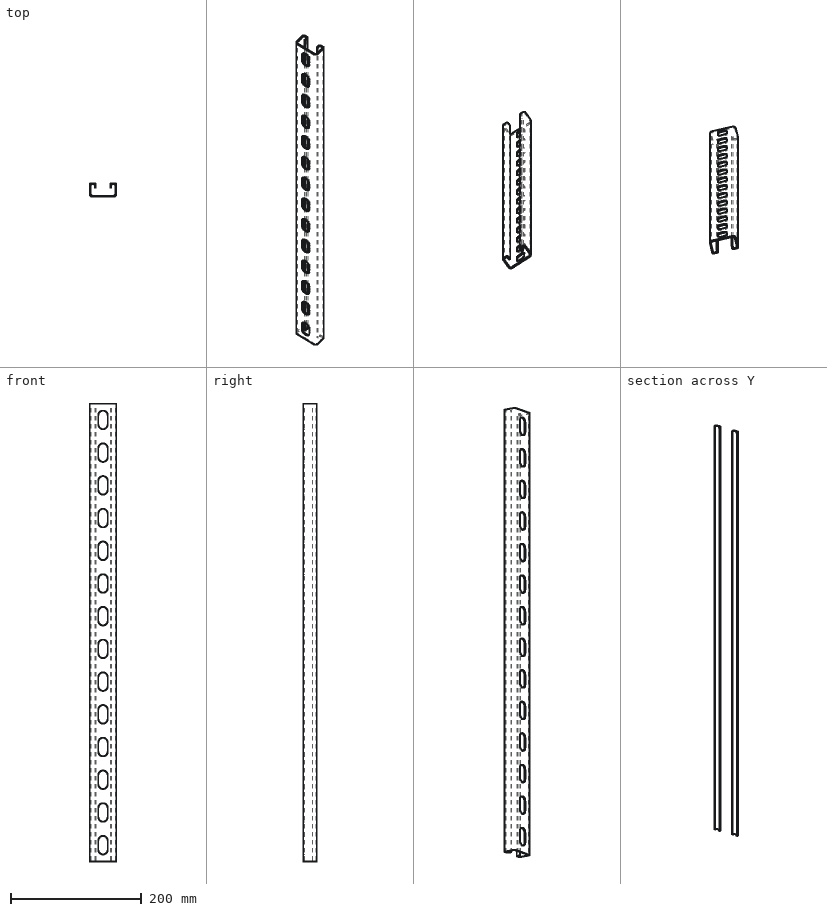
import cadquery as cq

width = 41.0
depth = 21.0
length = 700.0
thickness = 2.0
back_inner_radius = 2.5
back_outer_radius = back_inner_radius + thickness
lip_inner_radius = 0.5
lip_outer_radius = lip_inner_radius + thickness
mouth_width = 21.6
lip_depth = 7.2

slot_width = 14.0
slot_length = 28.0
slot_pitch = 50.0
slot_count = int(length // slot_pitch)

half_width = width / 2
half_mouth = mouth_width / 2
back_y = -depth / 2
mouth_y = depth / 2


def make_channel():
    """Extrude the sharp-cornered C section, then round every bend."""
    inner_x = half_width - thickness
    lip_inner_x = half_mouth + thickness
    right_half = [
        (half_width, back_y),
        (half_width, mouth_y),
        (half_mouth, mouth_y),
        (half_mouth, mouth_y - lip_depth),
        (lip_inner_x, mouth_y - lip_depth),
        (lip_inner_x, mouth_y - thickness),
        (inner_x, mouth_y - thickness),
        (inner_x, back_y + thickness),
    ]
    left_half = [(-x, y) for x, y in reversed(right_half)]
    channel = cq.Workplane("XY").polyline(right_half + left_half).close().extrude(length)

    bends = [
        (half_width, back_y, back_outer_radius),
        (half_width, mouth_y, lip_outer_radius),
        (half_mouth, mouth_y, lip_outer_radius),
        (inner_x, back_y + thickness, back_inner_radius),
        (inner_x, mouth_y - thickness, lip_inner_radius),
        (lip_inner_x, mouth_y - thickness, lip_inner_radius),
    ]
    for x, y, radius in bends:
        channel = round_corner_pair(channel, x, y, radius)
    return channel


def round_corner_pair(body, x, y, radius):
    """Fillet the lengthwise edge at (x, y) and its mirror image across X."""
    for side in (1, -1):
        edge_finder = cq.selectors.NearestToPointSelector((side * x, y, length / 2))
        body = body.edges("|Z").edges(edge_finder).fillet(radius)
    return body


def make_slots():
    """Upright slots through the back wall, evenly spaced and centred on the length."""
    first_z = (length - (slot_count - 1) * slot_pitch) / 2
    centres = [(0, first_z + i * slot_pitch) for i in range(slot_count)]
    return (
        cq.Workplane("XZ", origin=(0, back_y + thickness, 0))
        .pushPoints(centres)
        .slot2D(slot_length, slot_width, 90)
        .extrude(thickness)
    )


result = make_channel().cut(make_slots())